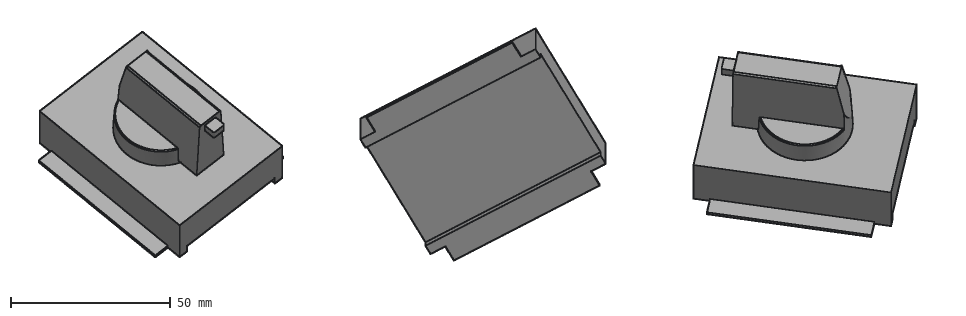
import cadquery as cq
import math

base_length = 63.0
base_width = 45.0
base_height = 16.45
channel_depth = 2.8
channel_wall = 3.3

flange_length = 52.4
flange_span = 56.0
flange_thickness = 1.0

stem_radius = 11.5
stem_height = 0.45
knob_radius = 15.05
knob_top = 23.95
knob_taper = 3.0
knob_chamfer = 0.4

grip_top = 42.3
grip_bottom = 18.2
grip_end = 22.1
grip_top_width = 9.2
grip_bottom_width = 11.85
grip_chamfer_width = 0.55
grip_chamfer_height = 0.45
nose_rim = 0.2
nose_top_x = -10.9
nose_low_x = -14.6
nose_low_z = 24.6

tab_end = 26.2
tab_width = 4.65
tab_bottom = 38.1
tab_top = 40.8
tab_corner_radius = 0.5

knob_bottom = base_height + stem_height


def make_housing():
    block = cq.Workplane("XY").box(base_length, base_width, base_height, centered=(True, True, False))
    channel = cq.Workplane("XY").box(
        base_length, base_width - 2 * channel_wall, channel_depth, centered=(True, True, False)
    )
    flanges = cq.Workplane("XY").box(
        flange_length, flange_span, flange_thickness, centered=(True, True, False)
    )
    return block.union(flanges).cut(channel)


def tapered_disc(top):
    """Cone frustum from the underside of the knob up to the given height."""
    height = top - knob_bottom
    top_radius = knob_radius - height * math.tan(math.radians(knob_taper))
    return cq.Workplane(cq.Solid.makeCone(knob_radius, top_radius, height, cq.Vector(0, 0, knob_bottom)))


def make_knob():
    stem = cq.Workplane("XY").workplane(offset=base_height).circle(stem_radius).extrude(stem_height)
    disc = tapered_disc(knob_top).faces(">Z").chamfer(knob_chamfer)
    return stem.union(disc)


def make_grip():
    bar = (
        cq.Workplane("YZ")
        .workplane(offset=-knob_radius)
        .polyline(
            [
                (-grip_bottom_width / 2, grip_bottom),
                (grip_bottom_width / 2, grip_bottom),
                (grip_top_width / 2, grip_top),
                (-grip_top_width / 2, grip_top),
            ]
        )
        .close()
        .extrude(knob_radius + grip_end)
    )

    round_end = tapered_disc(grip_top)
    straight_end = cq.Workplane("XY").box(
        grip_end, 2 * knob_radius, grip_top, centered=(False, True, False)
    )
    bar = bar.intersect(round_end.union(straight_end))

    slope = (nose_top_x - nose_low_x) / (grip_top - nose_low_z)
    nose_foot_x = nose_low_x - slope * (nose_low_z - grip_bottom)
    nose_side = (
        cq.Workplane("XZ")
        .polyline(
            [
                (nose_foot_x, grip_bottom),
                (grip_end, grip_bottom),
                (grip_end, grip_top),
                (nose_top_x, grip_top),
            ]
        )
        .close()
        .extrude(knob_radius, both=True)
    )
    bar = bar.intersect(nose_side)

    half_top = grip_top_width / 2
    side_slope = (grip_bottom_width - grip_top_width) / 2 / (grip_top - grip_bottom)
    bevel_low_y = half_top + side_slope * grip_chamfer_height
    bevel_start = nose_top_x + nose_rim
    bevel = (
        cq.Workplane("YZ")
        .workplane(offset=bevel_start)
        .polyline(
            [
                (half_top - grip_chamfer_width, grip_top),
                (bevel_low_y, grip_top - grip_chamfer_height),
                (bevel_low_y, grip_top),
            ]
        )
        .close()
        .extrude(grip_end - bevel_start)
    )
    return bar.cut(bevel).cut(bevel.mirror("XZ"))


def make_tab():
    return (
        cq.Workplane("XY")
        .box(tab_end - grip_end, tab_width, tab_top - tab_bottom, centered=(False, True, False))
        .edges("|Z and >X")
        .fillet(tab_corner_radius)
        .translate((grip_end, 0, tab_bottom))
    )


handle = make_grip().union(make_tab())
body = make_housing().union(make_knob()).cut(handle)
result = body.union(handle, clean=False)